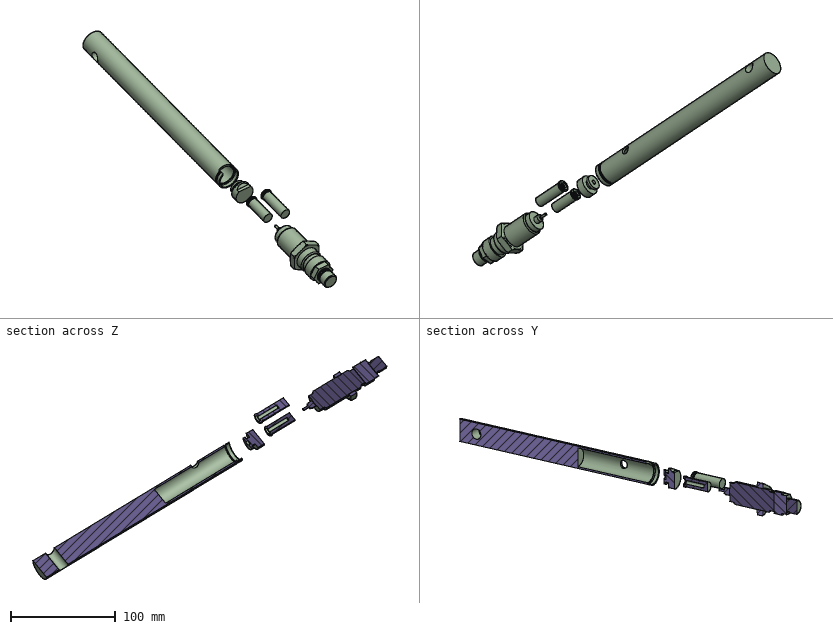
import cadquery as cq
import math


tube_radius = 22.8 / 2
tube_length = 228.0
bore_radius = 9.0
bore_depth = 88.0
mouth_bore_radius = 10.0
mouth_bore_depth = 5.0
cross_hole_x = 20.0
cross_hole_radius = 10.0 / 2
side_hole_x = 187.8
side_hole_radius = 4.0
mouth_slot_width = 12.8
mouth_slot_length = 7.0
ring_groove_radius = 10.5
ring_groove_width = 1.5
ring_land_width = 4.0

insert_x = 241.7
insert_head_radius = 7.0
insert_head_length = 2.5
insert_neck_radius = 4.8
insert_neck_length = 3.0
insert_flange_radius = 19.5 / 2
insert_flange_length = 7.5
insert_flat_height = 7.0
insert_flat_length = 3.0
insert_ramp_length = 2.5
insert_hole_radius = 2.0

sleeve_x = 265.0
sleeve_radius = 10.0 / 2
sleeve_rim_radius = 5.5
sleeve_rim_length = 2.5
sleeve_rim_chamfer = 0.8
sleeve_neck_radius = 4.8
sleeve_neck_length = 1.0
sleeve_recess_radius = 2.8
sleeve_recess_depth = 2.0
sleeve_hole_radius = 1.5
sleeve_hole_depth = 24.0
sleeves = [(0, 29.0), (16.8, 34.0)]

pin_x = 307.0
pin_radius = 1.0
pin_length = 6.5
ferrule_radius = 3.5
ferrule_tip_radius = 2.8
ferrule_taper = 2.0
ferrule_length = 6.5

housing_x = pin_x + pin_length + ferrule_length
housing_radius = tube_radius
housing_nose_radius = 9.5
housing_nose_length = 5.0
housing_thread_end = 367.0
housing_end = 372.5
housing_chamfer = 1.0

nut_x = 352.0
nut_width = 7.0
nut_across_flats = 28.8
nut_front_face_radius = 14.0
nut_front_chamfer = 0.8
nut_back_chamfer = 1.0

coupling_round_length = 9.0
coupling_hex_length = 5.5
coupling_hex_across_flats = 19.0

tail_radius = 7.0
tail_collar_length = 1.0
tail_groove_width = 2.0
tail_groove_radius = 6.5
tail_end = 399.5
tail_chamfer = 0.8


def cylinder(x_start, x_end, radius, y=0):
    """A cylinder along X."""
    return cq.Workplane("YZ", origin=(x_start, y, 0)).circle(radius).extrude(x_end - x_start)


def turned(points):
    """A solid of revolution about X from the (x, radius) corners of its outer profile."""
    x_first = points[0][0]
    x_last = points[-1][0]
    outline = [(x_first, 0)] + points + [(x_last, 0)]
    return cq.Workplane("XY").polyline(outline).close().revolve(360, (0, 0, 0), (1, 0, 0))


def hexagon(x_start, length, across_flats, turn=0):
    """A hexagonal prism along X; with no turn, two of its corners point along Y."""
    corner_diameter = across_flats / math.cos(math.pi / 6)
    prism = cq.Workplane("YZ", origin=(x_start, 0, 0)).polygon(6, corner_diameter).extrude(length)
    return prism.rotate((0, 0, 0), (1, 0, 0), turn)


def groove(x_start, width, outer_radius, floor_radius):
    """A ring that cuts a groove into a cylinder about the X axis."""
    x_end = x_start + width
    return cylinder(x_start, x_end, outer_radius).cut(cylinder(x_start, x_end, floor_radius))


def make_tube():
    """Round tube with a blind stepped bore, cross holes, and a slot and ring groove at its mouth."""
    groove_x = tube_length - ring_land_width - ring_groove_width
    tube = cylinder(0, tube_length, tube_radius)
    tube = tube.cut(cylinder(tube_length - bore_depth, tube_length, bore_radius))
    tube = tube.cut(cylinder(tube_length - mouth_bore_depth, tube_length, mouth_bore_radius))
    tube = tube.cut(groove(groove_x, ring_groove_width, tube_radius, ring_groove_radius))
    cross_hole = cq.Workplane("XZ", origin=(cross_hole_x, 0, 0)).circle(cross_hole_radius)
    tube = tube.cut(cross_hole.extrude(tube_radius, both=True))
    side_hole = cq.Workplane("XZ", origin=(side_hole_x, 0, 0)).circle(side_hole_radius)
    tube = tube.cut(side_hole.extrude(-tube_radius))
    mouth_slot = cq.Workplane("XY", origin=(tube_length - mouth_slot_length, 0, 0)).box(
        mouth_slot_length, mouth_slot_width, tube_radius, centered=(False, True, False)
    )
    return tube.cut(mouth_slot)


def make_insert():
    """Flanged plug with a flat on top of the flange and a ramp that leads onto it."""
    neck_x = insert_x + insert_head_length
    flange_x = neck_x + insert_neck_length
    end_x = flange_x + insert_flange_length
    insert = cylinder(insert_x, neck_x, insert_head_radius)
    insert = insert.union(cylinder(neck_x, flange_x, insert_neck_radius))
    insert = insert.union(cylinder(flange_x, end_x, insert_flange_radius))
    insert = insert.cut(cylinder(insert_x, neck_x, insert_hole_radius))
    flat_x = end_x - insert_flat_length
    ramp = cq.Workplane("XZ").polyline([
        (end_x, insert_flat_height),
        (flat_x, insert_flat_height),
        (flat_x - insert_ramp_length, insert_flange_radius),
        (end_x, insert_flange_radius),
    ]).close().extrude(insert_flange_radius, both=True)
    return insert.cut(ramp)


def make_sleeve(y, length):
    """Round sleeve with a rim at its front end and a stepped blind hole."""
    rim_end = sleeve_x + sleeve_rim_length
    neck_end = rim_end + sleeve_neck_length
    sleeve = cylinder(sleeve_x, rim_end, sleeve_rim_radius, y).faces("<X").chamfer(sleeve_rim_chamfer)
    sleeve = sleeve.union(cylinder(rim_end, neck_end, sleeve_neck_radius, y))
    sleeve = sleeve.union(cylinder(neck_end, sleeve_x + length, sleeve_radius, y))
    sleeve = sleeve.cut(cylinder(sleeve_x, sleeve_x + sleeve_recess_depth, sleeve_recess_radius, y))
    return sleeve.cut(cylinder(sleeve_x, sleeve_x + sleeve_hole_depth, sleeve_hole_radius, y))


def make_pin():
    """Thin pin that widens into a tapered ferrule."""
    ferrule_x = pin_x + pin_length
    return turned([
        (pin_x, pin_radius),
        (ferrule_x, pin_radius),
        (ferrule_x, ferrule_tip_radius),
        (ferrule_x + ferrule_taper, ferrule_radius),
        (housing_x, ferrule_radius),
    ])


def make_housing():
    """Housing with a nose, a body chamfered at both ends and a narrow rear neck."""
    shoulder_x = housing_x + housing_nose_length
    return turned([
        (housing_x, housing_nose_radius),
        (shoulder_x, housing_nose_radius),
        (shoulder_x, housing_radius - housing_chamfer),
        (shoulder_x + housing_chamfer, housing_radius),
        (housing_thread_end - housing_chamfer, housing_radius),
        (housing_thread_end, housing_radius - housing_chamfer),
        (housing_thread_end, housing_nose_radius),
        (housing_end, housing_nose_radius),
    ])


def make_nut():
    """Hexagonal ring around the housing, its corners pointing along Z."""
    nut_end = nut_x + nut_width
    corner_radius = nut_across_flats / math.sqrt(3)
    envelope = turned([
        (nut_x, nut_front_face_radius),
        (nut_x + nut_front_chamfer, corner_radius),
        (nut_end - nut_back_chamfer, corner_radius),
        (nut_end, corner_radius - nut_back_chamfer),
    ])
    nut = hexagon(nut_x, nut_width, nut_across_flats, turn=90).intersect(envelope)
    return nut.cut(cylinder(nut_x, nut_end, housing_radius))


def make_coupling():
    """Round collar ending in a smaller hexagon."""
    hex_x = housing_end + coupling_round_length
    coupling = cylinder(housing_end, hex_x, housing_radius)
    return coupling.union(hexagon(hex_x, coupling_hex_length, coupling_hex_across_flats))


def make_tail():
    """Round end piece with a groove close to the coupling."""
    tail_x = housing_end + coupling_round_length + coupling_hex_length
    groove_x = tail_x + tail_collar_length
    tail = cylinder(tail_x, tail_end, tail_radius).faces(">X").chamfer(tail_chamfer)
    return tail.cut(groove(groove_x, tail_groove_width, tail_radius, tail_groove_radius))


sleeve_solids = [make_sleeve(y, length).val() for y, length in sleeves]
result = cq.Compound.makeCompound([
    make_tube().val(),
    make_insert().val(),
    *sleeve_solids,
    make_pin().val(),
    make_housing().val(),
    make_nut().val(),
    make_coupling().val(),
    make_tail().val(),
])